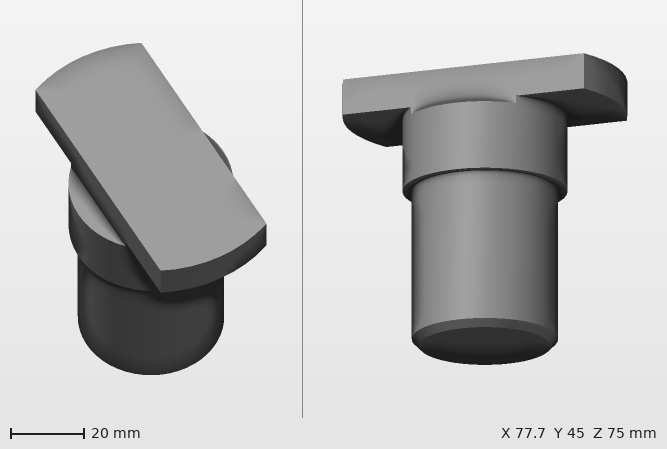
import cadquery as cq

total_height = 75.0
head_diameter = 77.65
head_width = 33.0
head_thickness = 10.0
collar_diameter = 45.0
shank_diameter = 40.0
shank_length = 44.0
shank_chamfer = 2.0
flat_depth = 12.0

head_bottom = total_height - head_thickness
collar_height = head_bottom - shank_length


def cylinder(diameter, bottom, height):
    """Upright cylinder on the Z axis."""
    return cq.Workplane("XY").workplane(offset=bottom).circle(diameter / 2).extrude(height)


shank = cylinder(shank_diameter, 0, shank_length).faces("<Z").chamfer(shank_chamfer)
collar = cylinder(collar_diameter, shank_length, collar_height)
head = cylinder(head_diameter, head_bottom, head_thickness)
body = shank.union(collar).union(head)

side_cut_width = (head_diameter - head_width) / 2
side_cut_center = (head_diameter + head_width) / 4
side_cuts = (
    cq.Workplane("XY")
    .workplane(offset=total_height - flat_depth)
    .pushPoints([(0, -side_cut_center), (0, side_cut_center)])
    .rect(head_diameter, side_cut_width)
    .extrude(flat_depth)
)

result = body.cut(side_cuts)